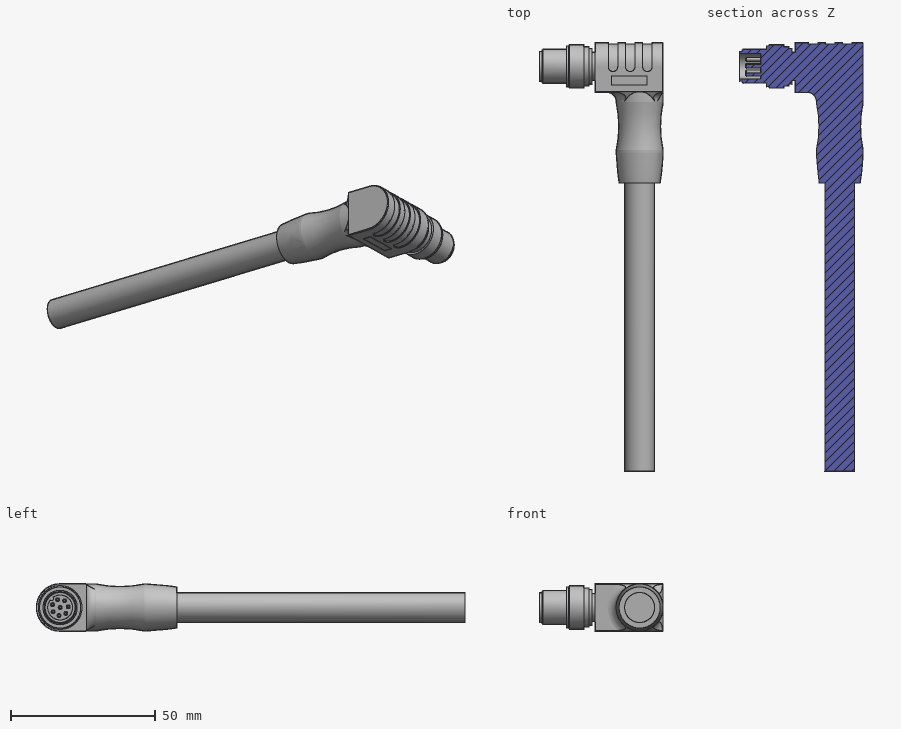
import cadquery as cq
import math


body_height = 16.5
body_half = body_height / 2
body_left = -15.5
body_right = 8.2
body_front = -9.0
edge_chamfer = 0.3

groove_count = 3
groove_first_x = -9.2
groove_pitch = 6.0
groove_width = 3.3
groove_depth = 0.5
groove_end_y = -1.8

label_length = 12.3
label_width = 3.0
label_center = (-3.5, -4.9)
label_depth = 0.1

boot_radius = 8.2
boot_waist_radius = 7.3
boot_end_radius = 7.1
boot_start_y = -12.5
boot_band_y = -29.1
boot_band_width = 0.9
boot_end_y = -40.4
boot_bulge = 0.1
flare_radius = 11.0
flare_side_inset = 2.0

cable_radius = 5.2
total_length = 148.5
cable_end_y = body_half - total_length

overall_width = 42.9
tip_x = body_right - overall_width
tip_radius = 5.2
tip_length = 0.9
step_radius = 5.5
sleeve_radius = 6.0
sleeve_x = -33.4
collar_radius = 7.1
collar_x = -25.4
nut_chamfer_x = -24.6
nut_x = -24.2
nut_radius = 7.5
nut_end_x = -19.3
shoulder_radius = 6.8
shoulder_end_x = -17.5
rear_radius = 6.2
rear_end_x = -16.5
neck_radius = 4.9

socket_radius = 4.3
socket_depth = 7.4
pin_radius = 0.67
pin_length = 5.2
pin_circle_radius = 2.8
outer_pin_count = 7
pin_chamfer = 0.3
first_pin_angle = 72.0
key_radius = 0.7
key_angle = first_pin_angle - 180 / outer_pin_count


def make_body():
    """D-shaped block: rounded at the back, square where the cable leaves."""
    block = (
        cq.Workplane("YZ", origin=(body_left, 0, 0))
        .moveTo(body_front, -body_half)
        .lineTo(0, -body_half)
        .threePointArc((body_half, 0), (0, body_half))
        .lineTo(body_front, body_half)
        .close()
        .extrude(body_right - body_left)
    )
    block = block.faces(">X").chamfer(edge_chamfer)
    return block.edges("|X and <Y").chamfer(edge_chamfer)


def groove_cutter(center_x):
    """Shell of groove depth around the back, limited to a round-ended strip."""
    end_radius = groove_width / 2
    strip_start = groove_end_y + end_radius
    strip = (
        cq.Workplane("XY", origin=(0, 0, -2 * body_half))
        .moveTo(center_x - end_radius, 2 * body_half)
        .lineTo(center_x - end_radius, strip_start)
        .threePointArc((center_x, groove_end_y), (center_x + end_radius, strip_start))
        .lineTo(center_x + end_radius, 2 * body_half)
        .close()
        .extrude(4 * body_half)
    )
    floor_radius = body_half - groove_depth
    core = (
        cq.Workplane("YZ", origin=(body_left, 0, 0))
        .moveTo(body_front, -floor_radius)
        .lineTo(0, -floor_radius)
        .threePointArc((floor_radius, 0), (0, floor_radius))
        .lineTo(body_front, floor_radius)
        .close()
        .extrude(body_right - body_left)
    )
    return strip.cut(core)


def label_cutter(side):
    """Rectangular recess on the upper (side = 1) or lower (side = -1) face."""
    return cq.Workplane("XY").box(label_length, label_width, 2 * label_depth).translate(
        (*label_center, side * body_half)
    )


def make_flare():
    """Concave flare from the body face to the boot, with sides leaning in to the boot."""
    mid_radius = boot_radius + (flare_radius - boot_radius) * (1 - math.sqrt(0.5))
    mid_y = boot_start_y + (body_front - boot_start_y) * math.sqrt(0.5)
    flare = (
        cq.Workplane("XY")
        .moveTo(0, body_front)
        .lineTo(flare_radius, body_front)
        .threePointArc((mid_radius, mid_y), (boot_radius, boot_start_y))
        .lineTo(0, boot_start_y)
        .close()
        .revolve(360, (0, 0, 0), (0, 1, 0))
    )
    flare_length = body_front - boot_start_y
    face_left = body_left + edge_chamfer
    face_right = body_right - edge_chamfer
    limit = (
        cq.Workplane("XZ", origin=(0, body_front, 0))
        .center((face_left + face_right) / 2, 0)
        .rect(face_right - face_left, 2 * (body_half - edge_chamfer))
        .extrude(flare_length, taper=math.degrees(math.atan2(flare_side_inset, flare_length)))
    )
    core_length = flare_length + edge_chamfer
    core = (
        cq.Workplane("XZ", origin=(0, body_front + edge_chamfer, 0))
        .circle(boot_radius)
        .extrude(core_length)
    )
    return flare.intersect(limit).union(core)


def make_boot():
    """Waisted strain relief with a raised band and a tapered end."""
    band_end_y = boot_band_y - boot_band_width
    taper_mid_radius = (boot_radius + boot_end_radius) / 2 + boot_bulge
    return (
        cq.Workplane("XY")
        .moveTo(0, boot_start_y)
        .lineTo(boot_radius, boot_start_y)
        .threePointArc(
            (boot_waist_radius, (boot_start_y + boot_band_y) / 2),
            (boot_radius, boot_band_y),
        )
        .lineTo(boot_radius, band_end_y)
        .threePointArc(
            (taper_mid_radius, (band_end_y + boot_end_y) / 2),
            (boot_end_radius, boot_end_y),
        )
        .lineTo(0, boot_end_y)
        .close()
        .revolve(360, (0, 0, 0), (0, 1, 0))
    )


def make_cable():
    return (
        cq.Workplane("XZ", origin=(0, boot_end_y, 0))
        .circle(cable_radius)
        .extrude(boot_end_y - cable_end_y)
    )


def make_plug():
    """Turned plug: sleeve, collar, nut, shoulder and neck."""
    profile = [
        (tip_x, 0),
        (tip_x, tip_radius),
        (tip_x + tip_length, tip_radius),
        (tip_x + tip_length, step_radius),
        (sleeve_x, sleeve_radius),
        (collar_x, sleeve_radius),
        (collar_x, collar_radius),
        (nut_chamfer_x, collar_radius),
        (nut_x, nut_radius),
        (nut_end_x, nut_radius),
        (nut_end_x, shoulder_radius),
        (shoulder_end_x, shoulder_radius),
        (shoulder_end_x, rear_radius),
        (rear_end_x, rear_radius),
        (rear_end_x, neck_radius),
        (body_left, neck_radius),
        (body_left, 0),
    ]
    return cq.Workplane("XY").polyline(profile).close().revolve(360, (0, 0, 0), (1, 0, 0))


def make_socket():
    """Blind bore in the plug tip, less the coding key along its wall."""
    bore = cq.Workplane("YZ", origin=(tip_x, 0, 0)).circle(socket_radius).extrude(socket_depth)
    key_y = socket_radius * math.cos(math.radians(key_angle))
    key_z = socket_radius * math.sin(math.radians(key_angle))
    key = (
        cq.Workplane("YZ", origin=(tip_x, 0, 0))
        .center(key_y, key_z)
        .circle(key_radius)
        .extrude(socket_depth)
    )
    return bore.cut(key)


def make_pins():
    """One centre pin and a ring of evenly spaced pins standing on the bore floor."""
    floor = cq.Workplane("YZ", origin=(tip_x + socket_depth, 0, 0))
    center_pin = floor.circle(pin_radius).extrude(-pin_length)
    outer_pins = (
        floor.polarArray(pin_circle_radius, first_pin_angle, 360, outer_pin_count)
        .circle(pin_radius)
        .extrude(-pin_length)
    )
    return center_pin.union(outer_pins).faces("<X").chamfer(pin_chamfer)


body = make_body()
for index in range(groove_count):
    body = body.cut(groove_cutter(groove_first_x + index * groove_pitch))
for side in (1, -1):
    body = body.cut(label_cutter(side))

plug = make_plug().cut(make_socket()).union(make_pins())

result = body.union(make_flare()).union(make_boot()).union(make_cable()).union(plug)